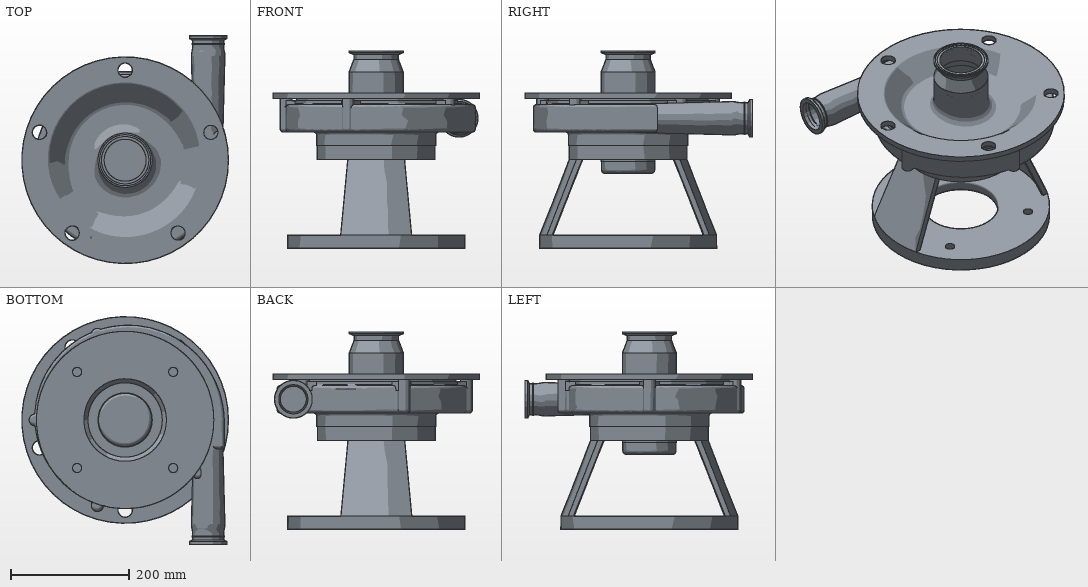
import cadquery as cq
import math

foot_top = 22.5
hub_bottom = 127.0
collar_bottom = 150.5
collar_step = 174.5
collar_neck = 192.0
volute_bottom = 197.0
volute_top = 243.5
rim_top = 250.0
plate_bottom = 253.5
plate_top = 263.3
inlet_top = 334.5

foot_radius = 150.0
foot_opening_radius = 63.0
foot_opening_fillet = 3.5
foot_opening_chamfer = 7.0
foot_hole_radius = 7.7
foot_hole_count = 4
foot_first_hole_angle = 45
foot_hole_pitch_radius = 115.0
leg_half_width_bottom = 60.2
leg_half_width_top = 48.2
leg_wall = 10.5
leg_chamfer = 2.5

collar_radius = 100.0
collar_upper_radius = 101.0
collar_blend = volute_bottom - collar_neck
hub_radius = 45.0
hub_fillet = 6.0
hub_step_radius = 46.0
hub_step_bottom = 147.0

volute_start_radius = 145.5
volute_end_radius = 168.0
volute_start_angle = 90
volute_sweep = 270
volute_end_y = 49.5
spiral_points = 40
volute_fillet = 5.5
rim_radius = 138.0
rim_neck_radius = 135.0
rim_blend = 2.0

plate_diameter = 350.0
plate_radius = plate_diameter / 2
dish_rim_radius = 132.0
dish_rim_blend = 5.5
dish_floor_radius = 91.5
dish_floor_blend = 14.3
dish_floor = 230.0
dish_wall_angle = 45

bolt_count = 5
bolt_pitch_radius = 152.5
bolt_hole_radius = 12.0
bolt_pitch_angle = 360 / bolt_count
first_bolt_angle = 90
first_boss_angle = first_bolt_angle + bolt_pitch_angle / 4
boss_angles = [first_boss_angle + index * bolt_pitch_angle for index in range(bolt_count)]
boss_radius = 10.0
boss_blend = 3.5
web_bottom = 235.5
web_half_width = 17.8

inlet_radius = 46.0
inlet_blend = 20.0
inlet_cone_bottom = 298.8
inlet_cone_top = 320.0
inlet_ferrule_radius = 38.0
inlet_bore_radius = 35.5
inlet_bore_cone_top = 305.0
inlet_bore_cone_bottom = 288.5
inlet_groove_pitch_radius = 41.5
inlet_groove_radius = 1.5
inlet_flange_height = 3.0
inlet_flange_taper = 3.5

outlet_x = 140.5
outlet_z = 220.5
overall_length = 386
outlet_tip_y = overall_length - plate_radius
outlet_flange_radius = 32.0
outlet_flange_length = 5.0
outlet_flange_taper = 2.7
outlet_ferrule_radius = 26.5
outlet_ring_radius = 27.5
outlet_ring_start = 13.0
outlet_ring_end = 14.5
outlet_curve_start = 19.3
outlet_curve_end = 34.7
outlet_max_radius = 28.5
outlet_root_radius = 24.0
outlet_bore_radius = 24.7

edge_tolerance = 0.05
leg_side_tolerance = 19.3

axis_start = (0, 0, 0)
axis_end = (0, 1, 0)


def disc(radius, bottom, top):
    return cq.Workplane("XY").workplane(offset=bottom).circle(radius).extrude(top - bottom)


def polar(radius, degrees):
    angle = math.radians(degrees)
    return (radius * math.cos(angle), radius * math.sin(angle))


def make_foot():
    foot = disc(foot_radius, 0, foot_top)
    opening = disc(foot_opening_radius, 0, foot_top)
    foot = foot.cut(opening)
    opening_edge = cq.selectors.RadiusNthSelector(0)
    foot = foot.faces(">Z").edges(opening_edge).fillet(foot_opening_fillet)
    foot = foot.faces("<Z").edges(opening_edge).chamfer(foot_opening_chamfer)
    holes = (
        cq.Workplane("XY")
        .polarArray(foot_hole_pitch_radius, foot_first_hole_angle, 360, foot_hole_count)
        .circle(foot_hole_radius)
        .extrude(foot_top)
    )
    return foot.cut(holes)


def make_legs():
    """Two strips of a conical shell, one at the front and one at the back."""
    shell = (
        cq.Workplane("XZ")
        .moveTo(foot_radius, foot_top)
        .lineTo(collar_radius, collar_bottom)
        .lineTo(collar_radius - leg_wall, collar_bottom)
        .lineTo(foot_radius - leg_wall, foot_top)
        .close()
        .revolve(360, axis_start, axis_end)
    )
    strip = (
        cq.Workplane("XZ")
        .moveTo(-leg_half_width_bottom, foot_top)
        .lineTo(leg_half_width_bottom, foot_top)
        .lineTo(leg_half_width_top, collar_bottom)
        .lineTo(-leg_half_width_top, collar_bottom)
        .close()
        .extrude(foot_radius, both=True)
    )
    legs = shell.intersect(strip)
    middle_height = (foot_top + collar_bottom) / 2
    middle_radius = (foot_radius + collar_radius - leg_wall) / 2

    def is_inner_side(edge):
        center = edge.Center()
        on_side = abs(center.z - middle_height) < leg_side_tolerance
        return on_side and math.hypot(center.x, center.y) < middle_radius

    return legs.newObject(legs.edges().filter(is_inner_side).vals()).chamfer(leg_chamfer)


def make_collar():
    hub = disc(hub_radius, hub_bottom, collar_bottom).faces("<Z").edges().fillet(hub_fillet)
    collar = (
        cq.Workplane("XZ")
        .moveTo(0, collar_bottom)
        .lineTo(collar_radius, collar_bottom)
        .lineTo(collar_radius, collar_step)
        .lineTo(collar_upper_radius, collar_step)
        .lineTo(collar_upper_radius, collar_neck)
        .radiusArc((collar_upper_radius + collar_blend, volute_bottom), collar_blend)
        .lineTo(0, volute_bottom)
        .close()
        .revolve(360, axis_start, axis_end)
    )
    hub_step = disc(hub_step_radius, hub_step_bottom, collar_bottom)
    return collar.union(hub).union(hub_step)


def volute_wall(t):
    """Point of the spiral wall, t from 0 (+Y side) to 1 (+X side)."""
    radius = volute_start_radius + t * (volute_end_radius - volute_start_radius)
    return polar(radius, volute_start_angle + t * volute_sweep)


def turn(shape, degrees):
    return shape.rotate((0, 0, 0), (0, 0, 1), degrees)


def boss_post(degrees, top):
    post = disc(boss_radius, volute_bottom, top).translate((-bolt_pitch_radius, 0, 0))
    return turn(post, degrees + 180)


def make_volute():
    """Spiral casing with the bosses blended into its wall."""
    mouth_inner_x = math.sqrt(volute_start_radius**2 - volute_end_y**2)
    mouth_angle = math.degrees(math.asin(volute_end_y / volute_start_radius))
    arc_middle = polar(volute_start_radius, (volute_start_angle + mouth_angle) / 2)
    body = (
        cq.Workplane("XY")
        .workplane(offset=volute_bottom)
        .parametricCurve(volute_wall, N=spiral_points, makeWire=False)
        .moveTo(volute_end_radius, 0)
        .lineTo(volute_end_radius, volute_end_y)
        .lineTo(mouth_inner_x, volute_end_y)
        .threePointArc(arc_middle, (0, volute_start_radius))
        .wire()
        .extrude(volute_top - volute_bottom)
    )
    for degrees in boss_angles:
        body = body.union(boss_post(degrees, volute_top))

    middle_height = (volute_bottom + volute_top) / 2

    def is_boss_corner(edge):
        center = edge.Center()
        if abs(center.z - middle_height) > edge_tolerance:
            return False
        for degrees in boss_angles:
            x, y = polar(bolt_pitch_radius, degrees)
            if abs(math.hypot(center.x - x, center.y - y) - boss_radius) < edge_tolerance:
                return True
        return False

    body = body.newObject(body.edges().filter(is_boss_corner).vals()).fillet(boss_blend)
    return body.faces("<Z or >Z").edges().fillet(volute_fillet)


def make_rim():
    """Raised rim and neck that carry the cover plate."""
    return (
        cq.Workplane("XZ")
        .moveTo(0, volute_top)
        .lineTo(rim_radius + rim_blend, volute_top)
        .radiusArc((rim_radius, volute_top + rim_blend), rim_blend)
        .lineTo(rim_radius, rim_top)
        .lineTo(rim_neck_radius, rim_top)
        .lineTo(rim_neck_radius, plate_bottom)
        .lineTo(0, plate_bottom)
        .close()
        .revolve(360, axis_start, axis_end)
    )


def make_boss_top(degrees):
    """Upper end of a boss with a web that widens towards the rim."""
    post = boss_post(degrees, plate_bottom)
    post = post.intersect(disc(plate_radius, volute_top - volute_fillet, plate_bottom))
    web = (
        cq.Workplane("XY")
        .workplane(offset=web_bottom)
        .moveTo(bolt_pitch_radius, -boss_radius)
        .lineTo(bolt_pitch_radius, boss_radius)
        .lineTo(rim_neck_radius, web_half_width)
        .lineTo(rim_neck_radius, -web_half_width)
        .close()
        .extrude(rim_top - web_bottom)
    )
    return post.union(turn(web, degrees))


def make_dish():
    """Space above the dished cover: conical wall, blended at rim and floor."""
    half = math.radians(dish_wall_angle / 2)
    across = math.sin(math.radians(dish_wall_angle))
    down = 1 - math.cos(math.radians(dish_wall_angle))
    rim_end = (dish_rim_radius - dish_rim_blend * across, plate_top - dish_rim_blend * down)
    wall_end_radius = dish_floor_radius + dish_floor_blend * across
    wall_end = (wall_end_radius, dish_floor + dish_floor_blend * down)
    rim_mid = (
        dish_rim_radius - dish_rim_blend * math.sin(half),
        plate_top - dish_rim_blend * (1 - math.cos(half)),
    )
    floor_mid = (
        dish_floor_radius + dish_floor_blend * math.sin(half),
        dish_floor + dish_floor_blend * (1 - math.cos(half)),
    )
    return (
        cq.Workplane("XZ")
        .moveTo(0, plate_top)
        .lineTo(dish_rim_radius, plate_top)
        .threePointArc(rim_mid, rim_end)
        .lineTo(*wall_end)
        .threePointArc(floor_mid, (dish_floor_radius, dish_floor))
        .lineTo(0, dish_floor)
        .close()
        .revolve(360, axis_start, axis_end)
    )


def make_inlet():
    flange_bottom = inlet_top - inlet_flange_height
    return (
        cq.Workplane("XZ")
        .moveTo(0, dish_floor)
        .lineTo(inlet_radius + inlet_blend, dish_floor)
        .radiusArc((inlet_radius, dish_floor + inlet_blend), inlet_blend)
        .lineTo(inlet_radius, inlet_cone_bottom)
        .lineTo(inlet_ferrule_radius, inlet_cone_top)
        .lineTo(inlet_ferrule_radius, flange_bottom - inlet_flange_taper)
        .lineTo(inlet_radius, flange_bottom)
        .lineTo(inlet_radius, inlet_top)
        .lineTo(inlet_groove_pitch_radius + inlet_groove_radius, inlet_top)
        .threePointArc(
            (inlet_groove_pitch_radius, inlet_top - inlet_groove_radius),
            (inlet_groove_pitch_radius - inlet_groove_radius, inlet_top),
        )
        .lineTo(0, inlet_top)
        .close()
        .revolve(360, axis_start, axis_end)
    )


def make_inlet_bore():
    wall = inlet_ferrule_radius - inlet_bore_radius
    return (
        cq.Workplane("XZ")
        .moveTo(0, inlet_top)
        .lineTo(inlet_bore_radius, inlet_top)
        .lineTo(inlet_bore_radius, inlet_bore_cone_top)
        .lineTo(inlet_radius - wall, inlet_bore_cone_bottom)
        .lineTo(inlet_radius - wall, dish_floor)
        .lineTo(0, dish_floor)
        .close()
        .revolve(360, axis_start, axis_end)
    )


def make_outlet():
    """Tapered pipe that necks down to the ferrule in an S-curve."""
    flange_end = outlet_tip_y - outlet_flange_length
    curve_middle_radius = (outlet_ferrule_radius + outlet_max_radius) / 2
    curve_middle_y = outlet_tip_y - (outlet_curve_start + outlet_curve_end) / 2
    return (
        cq.Workplane("XY")
        .moveTo(0, outlet_tip_y)
        .lineTo(outlet_flange_radius, outlet_tip_y)
        .lineTo(outlet_flange_radius, flange_end)
        .lineTo(outlet_ferrule_radius, flange_end - outlet_flange_taper)
        .lineTo(outlet_ferrule_radius, outlet_tip_y - outlet_ring_start)
        .lineTo(outlet_ring_radius, outlet_tip_y - outlet_ring_start)
        .lineTo(outlet_ring_radius, outlet_tip_y - outlet_ring_end)
        .lineTo(outlet_ferrule_radius, outlet_tip_y - outlet_ring_end)
        .lineTo(outlet_ferrule_radius, outlet_tip_y - outlet_curve_start)
        .tangentArcPoint((curve_middle_radius, curve_middle_y), relative=False)
        .tangentArcPoint((outlet_max_radius, outlet_tip_y - outlet_curve_end), relative=False)
        .lineTo(outlet_root_radius, 0)
        .lineTo(0, 0)
        .close()
        .revolve(360, axis_start, axis_end)
        .translate((outlet_x, 0, outlet_z))
    )


def make_outlet_bore():
    wall = outlet_ferrule_radius - outlet_bore_radius
    return (
        cq.Workplane("XY")
        .moveTo(0, outlet_tip_y)
        .lineTo(outlet_bore_radius, outlet_tip_y)
        .lineTo(outlet_bore_radius, outlet_tip_y - outlet_curve_end)
        .lineTo(outlet_root_radius - wall, volute_end_y)
        .lineTo(0, volute_end_y)
        .close()
        .revolve(360, axis_start, axis_end)
        .translate((outlet_x, 0, outlet_z))
    )


def make_plate():
    plate = disc(plate_radius, plate_bottom, plate_top)
    bolt_holes = (
        cq.Workplane("XY")
        .workplane(offset=plate_bottom)
        .polarArray(bolt_pitch_radius, first_bolt_angle, 360, bolt_count)
        .circle(bolt_hole_radius)
        .extrude(plate_top - plate_bottom)
    )
    return plate.cut(bolt_holes)


result = make_foot().union(make_legs()).union(make_collar())
result = result.union(make_volute()).union(make_rim()).union(make_outlet())
for boss_angle in boss_angles:
    result = result.union(make_boss_top(boss_angle))
result = result.union(make_plate())
result = result.cut(make_dish()).union(make_inlet())
result = result.cut(make_inlet_bore()).cut(make_outlet_bore())